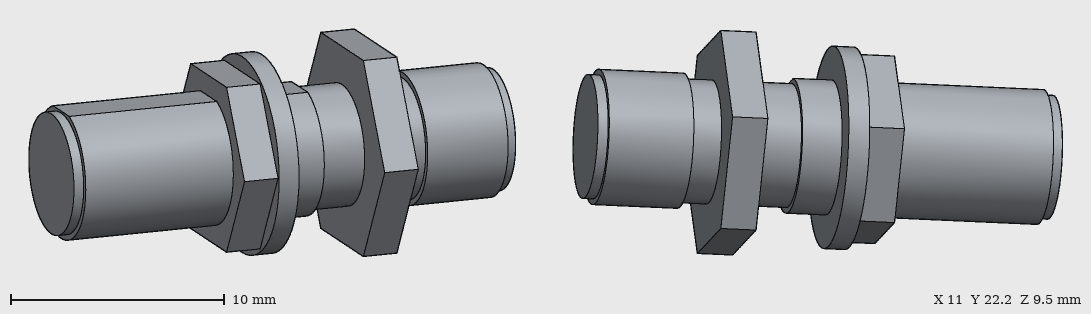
import cadquery as cq
import math

length = 22.2
front_y = -length / 2
end_step = 0.49
hex_start = 7.9
hex_thickness = 1.69
washer_thickness = 1.0
thread_end = 12.48
nut_start = 14.6
nut_thickness = 1.69
collar_start = 17.67

core_diameter = 5.82
thread_diameter = 6.35
flat_height = 3.0
hex_across_flats = 8.0
nut_across_flats = 9.5
washer_diameter = nut_across_flats


def section_plane(start):
    """Plane across the axis at a distance from the front end, extruding toward +Y."""
    return cq.Workplane("XZ", origin=(0, front_y + start, 0))


def cylinder(diameter, start, depth):
    return section_plane(start).circle(diameter / 2).extrude(-depth)


def hexagon(across_flats, start, depth):
    """Hexagonal prism with corners on X and flats facing Z."""
    across_corners = across_flats / math.cos(math.pi / 6)
    return section_plane(start).polygon(6, across_corners).extrude(-depth)


def threaded_barrel():
    """Round barrel with one flat along its top."""
    depth = thread_end - end_step
    barrel = cylinder(thread_diameter, end_step, depth)
    radius = thread_diameter / 2
    keep = (
        section_plane(end_step)
        .center(0, (flat_height - radius) / 2)
        .rect(thread_diameter, flat_height + radius)
        .extrude(-depth)
    )
    return barrel.intersect(keep)


core = cylinder(core_diameter, 0, length)
fixed_hex = hexagon(hex_across_flats, hex_start, hex_thickness)
washer = cylinder(washer_diameter, hex_start + hex_thickness, washer_thickness)
nut = hexagon(nut_across_flats, nut_start, nut_thickness)
rear_collar = cylinder(thread_diameter, collar_start, length - end_step - collar_start)

result = (
    core.union(threaded_barrel())
    .union(fixed_hex)
    .union(washer)
    .union(nut)
    .union(rear_collar)
)